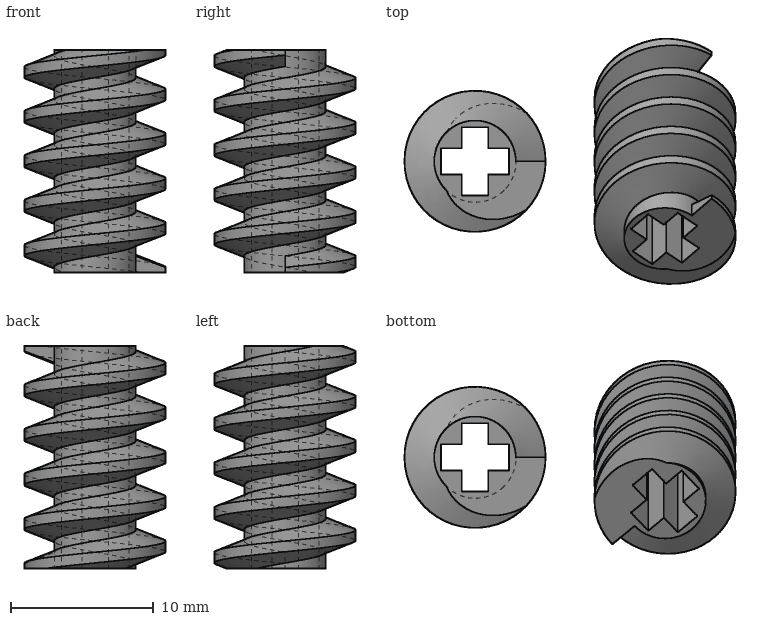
import cadquery as cq

length = 15.6
turns = 5
outer_radius = 4.95
core_radius = 2.85
crest_width = 0.75
root_width = 2.32
slot_span = 4.76
slot_width = 1.83

pitch = length / turns


def make_core():
    core = cq.Workplane("XY").circle(core_radius).extrude(length)
    return core.rotate((0, 0, 0), (0, 0, 1), 180)


def make_thread():
    """Right-handed trapezoidal thread, starting and ending on the +X side."""
    half_root = root_width / 2
    half_crest = crest_width / 2
    profile = [
        (core_radius, -half_root),
        (outer_radius, -half_crest),
        (outer_radius, half_crest),
        (core_radius, half_root),
    ]
    edge_helices = [
        cq.Wire.makeHelix(pitch, length, radius).translate(cq.Vector(0, 0, height))
        for radius, height in profile
    ]
    flanks = [
        cq.Face.makeRuledSurface(edge_helices[i - 1], edge_helices[i])
        for i in range(len(edge_helices))
    ]
    corners = [cq.Vector(radius, 0, height) for radius, height in profile]
    start = cq.Face.makeFromWires(cq.Wire.makePolygon(corners, close=True))
    end = start.translate(cq.Vector(0, 0, length))
    faces = [face for flank in flanks for face in flank.Faces()]
    shell = cq.Shell.makeShell(faces + [start, end])
    return cq.Workplane(cq.Solid.makeSolid(shell))


def make_cross_slot():
    """Cross-shaped bore running the full length of the screw."""
    along_x = cq.Workplane("XY").rect(slot_span, slot_width).extrude(length)
    along_y = cq.Workplane("XY").rect(slot_width, slot_span).extrude(length)
    return along_x.union(along_y)


envelope_width = 3 * outer_radius
envelope = cq.Workplane("XY").rect(envelope_width, envelope_width).extrude(length)
trimmed_thread = make_thread().intersect(envelope)

screw = trimmed_thread.union(make_core()).cut(make_cross_slot())
result = screw.solids()